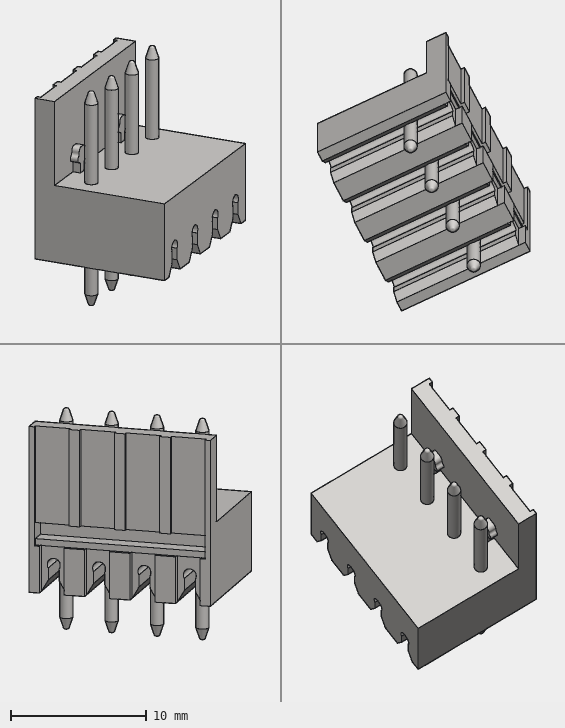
import cadquery as cq


pin_count = 4
pitch = 3.5
pin_ys = [(i - (pin_count - 1) / 2) * pitch for i in range(pin_count)]
pin_x = 3.79
pin_radius = 1.0 / 2
pin_length = 16.9
pin_below = 3.63
taper_length = 0.93
tip_radius = 0.24
tip_round_height = 0.15
tip_flat_radius = 0.07

housing_depth = 10.6
housing_width = pin_count * pitch
base_height = 6.07
wall_height = 12.7
wall_thickness = 1.6

recess_depth = 0.29
rib_width = 0.83
panel_width = pitch - rib_width
recess_width = housing_width - pitch + panel_width
pocket_floor = 4.07
pocket_top = 5.3
pocket_depth = wall_thickness
channel_width = 1.91
channel_top = 3.58
channel_depth = 0.54

passage_width = 0.85
passage_radius = pin_radius
passage_z = 2.1
funnel_height = 0.91

key_thickness = 0.6
key_height = 2.03
key_ys = [-pitch, pitch]
crown_half_width = 0.52
crown_radius = 0.34
crown_base = 1.59
shoulder_half_width = 0.65
shoulder_z = 1.37
bulge_end_half_width = 0.52
bulge_end_z = 0.88
stem_half_width = 0.32
stem_height = 0.66


def block(x_start, x_end, width, z_start, z_end, y_center=0.0):
    """Box between two X and two Z positions, centred in Y on y_center."""
    size = (x_end - x_start, width, z_end - z_start)
    corner = (x_start, y_center - width / 2, z_start)
    return cq.Workplane("XY").box(*size, centered=False).translate(corner)


def make_housing():
    base = block(0, housing_depth, housing_width, 0, base_height)
    wall = block(0, wall_thickness, housing_width, 0, wall_height)
    return base.union(wall)


def cut_face_recesses(body):
    """Cut the panels between the ribs and the stepped pocket below them."""
    for y in pin_ys:
        body = body.cut(block(0, recess_depth, panel_width, pocket_top, wall_height, y))
    body = body.cut(block(0, recess_depth, recess_width, channel_top, pocket_top))
    return body.cut(block(0, pocket_depth, recess_width, pocket_floor, pocket_top))


def make_wire_passage(y):
    """Shallow channel in the face, then a funnel, slot and round bore through the housing."""
    channel = block(0, channel_depth, channel_width, 0, channel_top, y)
    slot = block(0, housing_depth, passage_width, 0, passage_z, y)
    funnel = (
        cq.Workplane("YZ")
        .moveTo(y - channel_width / 2, 0)
        .lineTo(y - passage_width / 2, funnel_height)
        .lineTo(y + passage_width / 2, funnel_height)
        .lineTo(y + channel_width / 2, 0)
        .close()
        .extrude(housing_depth)
    )
    bore = cq.Workplane("YZ").center(y, passage_z).circle(passage_radius).extrude(housing_depth)
    return channel.union(slot).union(funnel).union(bore)


def make_pin(y):
    """Round pin with a tapered tip at each end, rounded over to a small flat."""
    half_length = pin_length / 2
    half = (
        cq.Workplane("XZ")
        .lineTo(tip_flat_radius, 0)
        .tangentArcPoint((tip_radius, tip_round_height), relative=False)
        .lineTo(pin_radius, taper_length)
        .lineTo(pin_radius, half_length)
        .lineTo(0, half_length)
        .close()
        .revolve(360, (0, 0, 0), (0, 1, 0))
    )
    pin = half.union(half.mirror("XY", (0, 0, half_length)))
    return pin.translate((pin_x, y, -pin_below))


def make_key(y):
    """Key with a round-cornered crown, bulging sides and a narrower stem."""
    half = (
        cq.Workplane("YZ")
        .lineTo(0, key_height)
        .lineTo(crown_half_width - crown_radius, key_height)
        .tangentArcPoint((crown_half_width, key_height - crown_radius), relative=False)
        .lineTo(crown_half_width, crown_base)
        .tangentArcPoint((shoulder_half_width, shoulder_z), relative=False)
        .tangentArcPoint((bulge_end_half_width, bulge_end_z), relative=False)
        .tangentArcPoint((stem_half_width, stem_height), relative=False)
        .lineTo(stem_half_width, 0)
        .close()
        .extrude(key_thickness)
    )
    key = half.union(half.mirror("XZ"))
    return key.translate((wall_thickness, y, base_height))


result = cut_face_recesses(make_housing())
for pin_y in pin_ys:
    result = result.cut(make_wire_passage(pin_y))
for pin_y in pin_ys:
    result = result.union(make_pin(pin_y))
for key_y in key_ys:
    result = result.union(make_key(key_y))